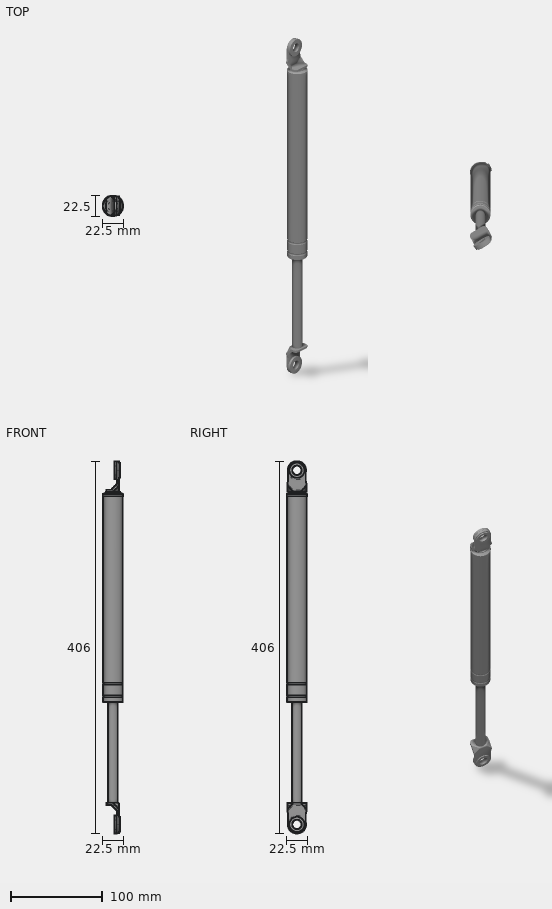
import cadquery as cq
import math

eye_spacing = 386.0
eye_z = eye_spacing / 2

tube_radius = 11.0
tube_bottom_z = -60.0
tube_bottom_chamfer = 0.8
bead_radius = 11.25
bead_height = 2.5
crown_height = 2.5
neck_radius = 8.0
neck_height = 1.0
groove_centres_z = (-53.25, -39.75)
groove_width = 2.5
groove_depth = 0.5

rod_radius = 5.5

sheet = 2.5
foot_seat_z = 169.5
foot_left_x = -7.5
foot_half_width = 10.5
foot_corner_radius = 4.0
bend_radius = 1.5
strap_outer_x = 6.75
strap_inner_x = strap_outer_x - sheet
strap_half_width = 9.75
flare_start_height = 9.0
flare_end_height = 12.0
gusset_inner_y = 4.4

bushing_radius = 10.0
bushing_flange = 2.5
bushing_hub_radius = 8.25
bushing_projection = 1.0
bushing_bore_radius = 5.0


def make_cylinder():
    """Closed cylinder with a necked, beaded crown and two rolled grooves."""
    bead_top_z = foot_seat_z - crown_height
    bead_bottom_z = bead_top_z - bead_height

    profile = (
        cq.Workplane("XZ")
        .moveTo(0, tube_bottom_z)
        .lineTo(tube_radius - tube_bottom_chamfer, tube_bottom_z)
        .lineTo(tube_radius, tube_bottom_z + tube_bottom_chamfer)
    )
    for groove_z in groove_centres_z:
        profile = (
            profile.lineTo(tube_radius, groove_z - groove_width / 2)
            .threePointArc(
                (tube_radius - groove_depth, groove_z),
                (tube_radius, groove_z + groove_width / 2),
            )
        )
    return (
        profile.lineTo(tube_radius, bead_bottom_z)
        .lineTo(bead_radius, bead_bottom_z)
        .lineTo(bead_radius, bead_top_z)
        .lineTo(neck_radius, foot_seat_z - neck_height)
        .lineTo(neck_radius, foot_seat_z)
        .lineTo(0, foot_seat_z)
        .close()
        .revolve(360, (0, 0, 0), (0, 1, 0))
    )


def make_rod():
    """Plain rod reaching from the lower bracket foot to the cylinder end."""
    return (
        cq.Workplane("XY", origin=(0, 0, -foot_seat_z))
        .circle(rod_radius)
        .extrude(foot_seat_z + tube_bottom_z)
    )


def corner_wedge(corner_x, start_y, corner_z, side):
    """Tetrahedron under a plane equally inclined to X, Y and Z.

    It starts at start_y on the bend edge and grows towards the side edge.
    """
    leg = foot_half_width - start_y
    start = cq.Vector(corner_x, side * start_y, corner_z)
    edge = cq.Vector(corner_x, side * foot_half_width, corner_z)
    on_strap = edge + cq.Vector(0, 0, leg)
    on_foot = edge - cq.Vector(leg, 0, 0)
    triangles = (
        (start, edge, on_strap),
        (start, edge, on_foot),
        (start, on_strap, on_foot),
        (edge, on_strap, on_foot),
    )
    outlines = [cq.Wire.makePolygon(points, close=True) for points in triangles]
    faces = [cq.Face.makeFromWires(outline) for outline in outlines]
    return cq.Workplane(cq.Solid.makeSolid(cq.Shell.makeShell(faces)))


def make_upper_bracket():
    """L-shaped sheet with an eye strap and pressed gussets at both ends of the bend."""
    foot_top_z = foot_seat_z + sheet
    foot = (
        cq.Workplane("XY", origin=(0, 0, foot_seat_z))
        .moveTo(foot_left_x, 0)
        .rect(strap_outer_x - foot_left_x, 2 * foot_half_width, centered=(False, True))
        .extrude(sheet)
        .edges("|Z and <X")
        .fillet(foot_corner_radius)
    )
    flare_start_z = foot_seat_z + flare_start_height
    flare_end_z = foot_seat_z + flare_end_height
    strap = (
        cq.Workplane("YZ", origin=(strap_inner_x, 0, 0))
        .moveTo(-foot_half_width, foot_seat_z)
        .lineTo(foot_half_width, foot_seat_z)
        .lineTo(foot_half_width, flare_start_z)
        .lineTo(strap_half_width, flare_end_z)
        .lineTo(strap_half_width, eye_z)
        .threePointArc((0, eye_z + strap_half_width), (-strap_half_width, eye_z))
        .lineTo(-strap_half_width, flare_end_z)
        .lineTo(-foot_half_width, flare_start_z)
        .close()
        .extrude(sheet)
    )
    bracket = foot.union(strap)

    gusset_outer_y = gusset_inner_y - sheet * (2 - math.sqrt(3))
    for side in (-1, 1):
        bracket = bracket.union(corner_wedge(strap_inner_x, gusset_inner_y, foot_top_z, side))
        bracket = bracket.cut(corner_wedge(strap_outer_x, gusset_outer_y, foot_seat_z, side))

    bend_edge = cq.selectors.NearestToPointSelector((strap_outer_x, 0, foot_seat_z))
    bracket = bracket.edges(bend_edge).fillet(bend_radius)

    hub_hole = (
        cq.Workplane("YZ", origin=(strap_inner_x, 0, eye_z))
        .circle(bushing_hub_radius)
        .extrude(sheet)
    )
    return bracket.cut(hub_hole)


def make_upper_bushing():
    """Flanged bushing whose hub passes through the strap and stands proud behind it."""
    return (
        cq.Workplane("YZ", origin=(strap_inner_x, 0, eye_z))
        .circle(bushing_hub_radius)
        .circle(bushing_bore_radius)
        .extrude(sheet + bushing_projection)
        .union(
            cq.Workplane("YZ", origin=(strap_inner_x - bushing_flange, 0, eye_z))
            .circle(bushing_radius)
            .circle(bushing_bore_radius)
            .extrude(bushing_flange)
        )
    )


cylinder = make_cylinder()
rod = make_rod()

end_fittings = []
for upper_fitting in (make_upper_bracket(), make_upper_bushing()):
    lower_fitting = upper_fitting.mirror("XY")
    end_fittings += [upper_fitting.val(), lower_fitting.val()]

result = cq.Compound.makeCompound([cylinder.val(), rod.val(), *end_fittings])